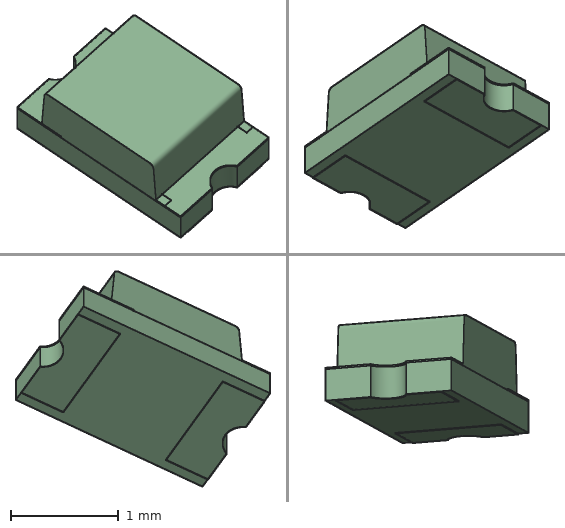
import cadquery as cq
import math

length = 2.0
width = 1.25
height = 0.8

pad_thickness = 0.008
board_top = 0.305
film_thickness = 0.015
film_top = board_top + film_thickness

lens_base_length = 1.4
lens_draft = 4.0
lens_top_radius = 0.05

neck_start = -0.465
neck_end = 0.808
neck_inset = 0.09

pad_length = 0.45
pad_width = 1.048

notch_radius = 0.19
notch_depth = 0.118
notch_center_x = length / 2 + notch_radius - notch_depth


def block(x_start, x_end, y_size, z_bottom, z_top):
    """Box between two X positions and two heights, centred on Y."""
    return cq.Workplane("XY").box(
        x_end - x_start, y_size, z_top - z_bottom, centered=(False, True, False)
    ).translate((x_start, 0, z_bottom))


def cut_end_notches(body):
    """Cut the round notch through both ends of a body."""
    cutters = (
        cq.Workplane("XY")
        .pushPoints([(-notch_center_x, 0), (notch_center_x, 0)])
        .circle(notch_radius)
        .extrude(height)
    )
    return body.cut(cutters)


def make_board():
    board = block(-length / 2, length / 2, width, pad_thickness, board_top)
    return cut_end_notches(board)


def make_film():
    film = block(-length / 2, length / 2, width, board_top, film_top)
    side_recesses = (
        cq.Workplane("XY", origin=(0, 0, board_top))
        .pushPoints([
            ((neck_start + neck_end) / 2, side * (width - neck_inset) / 2)
            for side in (-1, 1)
        ])
        .rect(neck_end - neck_start, neck_inset)
        .extrude(film_thickness)
    )
    return cut_end_notches(film.cut(side_recesses))


def make_lens(film):
    """Tapered lens whose feet fill the side recesses of the film."""
    base_half = lens_base_length / 2
    top_half = base_half - (height - board_top) * math.tan(math.radians(lens_draft))
    dome = (
        cq.Workplane("XZ", origin=(0, width / 2, 0))
        .moveTo(-base_half, board_top)
        .lineTo(base_half, board_top)
        .lineTo(top_half, height)
        .lineTo(-top_half, height)
        .close()
        .extrude(width)
        .faces(">Z")
        .edges("|Y")
        .fillet(lens_top_radius)
    )
    feet = block(neck_start, neck_end, width, board_top, film_top)
    return dome.union(feet).cut(film)


def make_solder_pad(side):
    """Thin pad below the board; side is -1 or 1 along X."""
    outer_x = side * length / 2
    inner_x = side * (length / 2 - pad_length)
    pad = block(min(outer_x, inner_x), max(outer_x, inner_x), pad_width, 0, pad_thickness)
    return cut_end_notches(pad)


board = make_board()
film = make_film()
lens = make_lens(film)
solder_pads = [make_solder_pad(side) for side in (-1, 1)]

result = cq.Compound.makeCompound(
    [board.val(), film.val(), *lens.vals(), *[pad.val() for pad in solder_pads]]
)